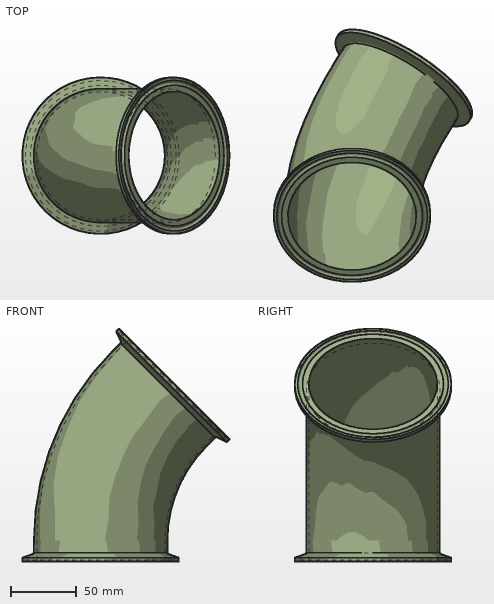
import cadquery as cq
import math

tube_diameter = 101.5
bore_diameter = 97.3
flange_diameter = 118.9
bend_angle = 45.0
bend_radius = 1.5 * tube_diameter
ferrule_length = 16.0

rim_thickness = 3.0
flange_back_angle = 20.0
neck_fillet_radius = 1.0

groove_diameter = 110.5
groove_mouth_width = 3.7
groove_depth = 1.5
groove_wall_width = 0.7
groove_wall_depth = 0.9

tube_radius = tube_diameter / 2
bore_radius = bore_diameter / 2
flange_radius = flange_diameter / 2


def make_ferrule():
    """Clamp ferrule along Z, with its sealing face on the XY plane."""
    back_rise = (flange_radius - tube_radius) * math.tan(math.radians(flange_back_angle))
    neck_z = rim_thickness + back_rise
    body = (
        cq.Workplane("XZ")
        .moveTo(bore_radius, 0)
        .lineTo(flange_radius, 0)
        .lineTo(flange_radius, rim_thickness)
        .lineTo(tube_radius, neck_z)
        .lineTo(tube_radius, ferrule_length)
        .lineTo(bore_radius, ferrule_length)
        .close()
        .revolve(360, (0, 0, 0), (0, 1, 0))
    )
    neck_edge = cq.selectors.NearestToPointSelector((0, 0, neck_z))
    body = body.edges(neck_edge).fillet(neck_fillet_radius)
    return body.cut(make_gasket_groove())


def make_gasket_groove():
    """Ring with sloping side walls and a rounded floor, cut into the sealing face."""
    middle_radius = groove_diameter / 2
    inner_radius = middle_radius - groove_mouth_width / 2
    outer_radius = middle_radius + groove_mouth_width / 2
    return (
        cq.Workplane("XZ")
        .moveTo(inner_radius, 0)
        .lineTo(outer_radius, 0)
        .lineTo(outer_radius - groove_wall_width, groove_wall_depth)
        .threePointArc(
            (middle_radius, groove_depth),
            (inner_radius + groove_wall_width, groove_wall_depth),
        )
        .close()
        .revolve(360, (0, 0, 0), (0, 1, 0))
    )


def make_bend():
    """Tube bend that starts at the lower ferrule and leans toward +X."""
    return (
        cq.Workplane("XY", origin=(0, 0, ferrule_length))
        .circle(tube_radius)
        .circle(bore_radius)
        .revolve(bend_angle, (bend_radius, 0, 0), (bend_radius, 1, 0))
    )


def mirror_to_upper_end(lower):
    """Copy the lower ferrule across the middle plane of the bend."""
    return (
        lower.translate((-bend_radius, 0, -ferrule_length))
        .mirror("XY")
        .rotate((0, 0, 0), (0, 1, 0), bend_angle)
        .translate((bend_radius, 0, ferrule_length))
    )


lower_ferrule = make_ferrule()
upper_ferrule = mirror_to_upper_end(lower_ferrule)
result = make_bend().union(lower_ferrule).union(upper_ferrule)